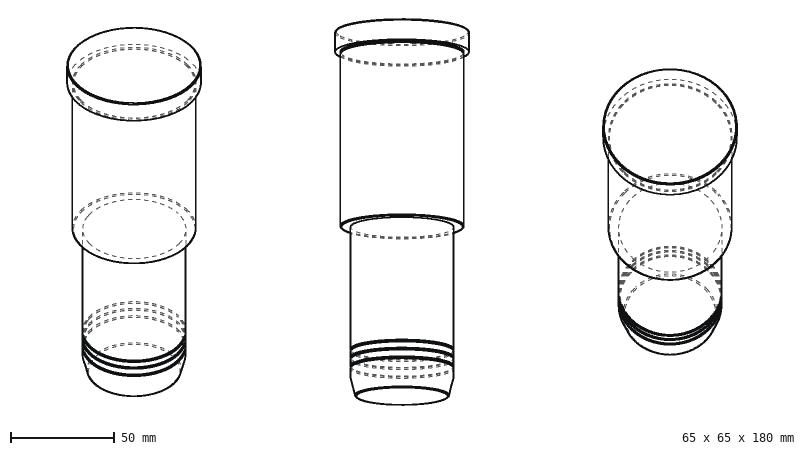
import cadquery as cq

total_length = 180.0
head_diameter = 65.0
head_height = 10.0
body_diameter = 60.0
body_bottom = 83.5
pin_diameter = 50.0
edge_chamfer = 0.5

tip_height = 9.2
tip_diameter = 45.4
tip_chamfer = 0.5

groove_width = 1.0
groove_depth = 0.5
groove_centers = (14.4, 18.7, 22.7)


def cylinder(diameter, bottom, top):
    """Solid cylinder on the Z axis between two heights."""
    return cq.Workplane("XY").workplane(offset=bottom).circle(diameter / 2).extrude(top - bottom)


def v_groove(diameter, center, width, depth):
    """Ring that cuts a V-shaped groove into a cylinder of the given diameter."""
    radius = diameter / 2
    half_width = width / 2
    return (
        cq.Workplane("XZ")
        .moveTo(radius - depth, center)
        .lineTo(radius, center + half_width)
        .lineTo(radius, center - half_width)
        .close()
        .revolve(360, (0, 0, 0), (0, 1, 0))
    )


head_bottom = total_length - head_height
head = cylinder(head_diameter, head_bottom, total_length).faces(">Z").edges().chamfer(edge_chamfer)
body = cylinder(body_diameter, body_bottom, head_bottom).faces("<Z").edges().chamfer(edge_chamfer)
pin = cylinder(pin_diameter, tip_height, body_bottom)

tip = (
    cq.Workplane("XY")
    .circle(tip_diameter / 2)
    .workplane(offset=tip_height)
    .circle(pin_diameter / 2)
    .loft(ruled=True)
    .faces("<Z")
    .edges()
    .chamfer(tip_chamfer)
)

result = head.union(body).union(pin).union(tip)

head_groove_center = head_bottom - groove_width / 2
result = result.cut(v_groove(body_diameter, head_groove_center, groove_width, groove_depth))
for groove_center in groove_centers:
    result = result.cut(v_groove(pin_diameter, groove_center, groove_width, groove_depth))